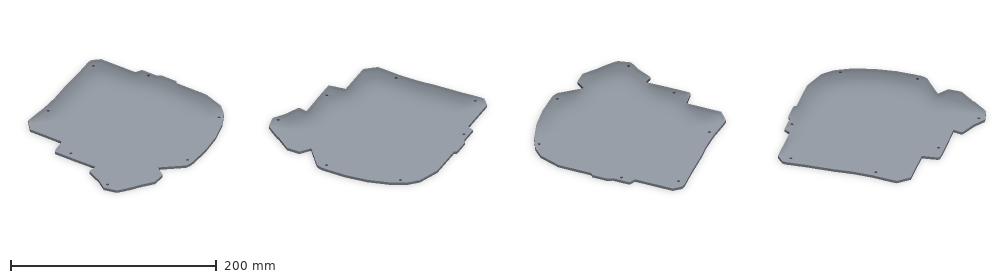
import cadquery as cq

WIDTH = 173.3
DEPTH = 184.2
THICKNESS = 3.0
HOLE_DIAMETER = 3.0

TOP_STEP = 181.6
TOP_LEFT_EDGE = 175.0
LEFT_FOOT = 41.3
CENTER_FOOT = 23.8
LOBE_SIDE = 160.0

TOP_EDGE = [
    (0.5, 168.4),
    (8.1, TOP_LEFT_EDGE),
    (47.5, TOP_LEFT_EDGE),
    (50.8, TOP_STEP),
    (68.3, TOP_STEP),
    (72.4, DEPTH),
    (89.2, DEPTH),
    (90.5, TOP_STEP),
    (125.3, TOP_STEP),
    (147.2, 173.9),
]

RIGHT_SIDE = [
    (155.6, 165.5),
    (157.5, 162.6),
    (164.0, 150.0),
    (170.4, 128.2),
    (WIDTH, 105.0),
    (WIDTH, 81.5),
    (172.6, 77.4),
    (171.0, 73.5),
]

THUMB_LOBE = [
    (150.0, 56.2),
    (LOBE_SIDE, 48.6),
    (LOBE_SIDE, 35.2),
    (149.0, 20.5),
    (147.5, 17.5),
    (141.3, 8.8),
    (136.7, 3.1),
    (134.1, 2.4),
    (123.2, 0.0),
    (113.0, 7.5),
    (97.3, 14.7),
    (96.7, 16.4),
    (98.4, 24.3),
]

BOTTOM_EDGE = [
    (74.0, CENTER_FOOT),
    (51.8, CENTER_FOOT),
    (50.5, 26.3),
    (48.5, LEFT_FOOT),
    (11.8, LEFT_FOOT),
    (2.4, 52.5),
]

LEFT_SIDE = [
    (2.8, 59.9),
    (3.7, 71.3),
    (4.2, 78.3),
    (4.2, 96.3),
    (3.7, 104.0),
    (2.5, 115.7),
    (2.4, 122.0),
    (2.0, 129.7),
    (1.5, 145.1),
    (1.0, 151.5),
    (0.0, 164.5),
]

HOLES = [
    (7.5, 161.7),
    (61.0, 177.2),
    (155.6, 157.0),
    (167.3, 82.2),
    (10.1, 76.3),
    (66.1, 29.8),
    (123.6, 6.5),
]


def plate():
    """Flat plate bounded by the irregular outline, traced clockwise."""
    outline = TOP_EDGE + RIGHT_SIDE + THUMB_LOBE + BOTTOM_EDGE + LEFT_SIDE
    return cq.Workplane("XY").polyline(outline).close().extrude(THICKNESS)


def mounting_holes():
    """Cylinders that cut the through holes."""
    return cq.Workplane("XY").pushPoints(HOLES).circle(HOLE_DIAMETER / 2).extrude(THICKNESS)


result = plate().cut(mounting_holes())